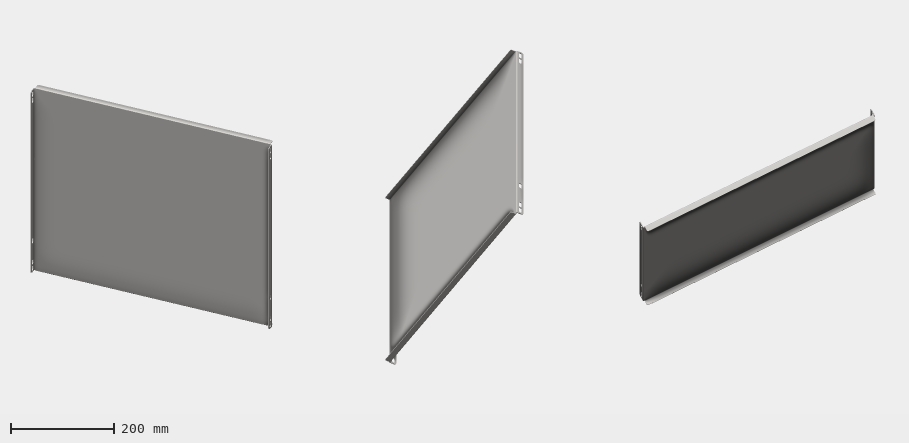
import cadquery as cq

width = 506.0
depth = 27.0
height = 420.0

thickness = 1.5
side_bend_radius = 0.5
back_bend_radius = 1.0

back_flange_depth = 12.5
back_flange_inset = 3.5
back_flange_corner_radius = 2.0
side_flange_corner_radius = 5.0
side_flange_inset = 1.5

slot_width = 6.5
slot_length = 12.0
slot_setback = 7.0
slot_heights = [-199.5, -185.0, -136.5, 185.0, 199.5]

front_edge = -depth / 2
back_edge = depth / 2
panel_front = back_edge - back_flange_depth
panel_back = panel_front + thickness
side_height = height - 2 * side_flange_inset


def box_between(size_x, y_min, y_max, size_z):
    """Box centred in X and Z and spanning y_min to y_max."""
    return cq.Workplane("XY").box(size_x, y_max - y_min, size_z).translate((0, (y_min + y_max) / 2, 0))


def side_channel():
    """Panel with its two side flanges, open towards the front."""
    outer = box_between(width, front_edge, panel_back, side_height)
    outer = outer.edges("|Z and >Y").fillet(side_bend_radius + thickness)
    inner = box_between(width - 2 * thickness, front_edge, panel_front, side_height)
    inner = inner.edges("|Z and >Y").fillet(side_bend_radius)
    channel = outer.cut(inner)
    return channel.edges("|X and <Y").fillet(side_flange_corner_radius)


def back_channel():
    """Panel with its top and bottom flanges, open towards the back."""
    flange_width = width - 2 * back_flange_inset
    outer = box_between(flange_width, panel_front, back_edge, height)
    outer = outer.edges("|X and <Y").fillet(back_bend_radius + thickness)
    inner = box_between(flange_width, panel_back, back_edge, height - 2 * thickness)
    inner = inner.edges("|X and <Y").fillet(back_bend_radius)
    channel = outer.cut(inner)
    return channel.edges("|Z and >Y").fillet(back_flange_corner_radius)


def side_slots():
    """Cutters for the slots, running through both side flanges."""
    slot_y = front_edge + slot_setback
    return (
        cq.Workplane("YZ")
        .pushPoints([(slot_y, z) for z in slot_heights])
        .slot2D(slot_length, slot_width, 90)
        .extrude(width, both=True)
    )


result = side_channel().union(back_channel()).cut(side_slots())